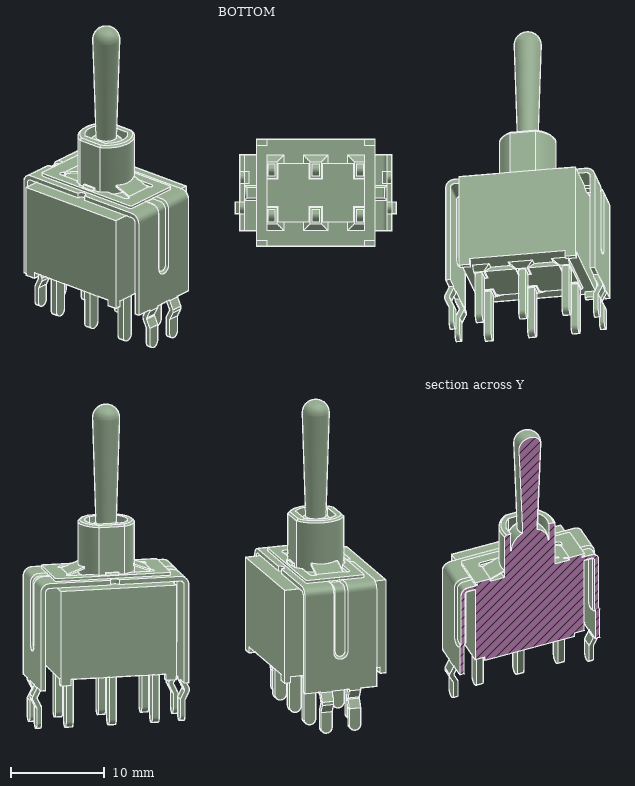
import cadquery as cq
import math

OVERALL_HEIGHT = 34.68

CASE_LENGTH = 12.65
CASE_WIDTH = 11.45
CASE_TOP = 15.85
CASE_BOTTOM = 6.15
FOOT_LENGTH = 1.15
FOOT_WIDTH = 0.65
FOOT_HEIGHT = 0.65
SEAL_LENGTH = 10.4
SEAL_WIDTH = 6.25
SEAL_DEPTH = 0.45

TERMINAL_COLUMNS = 3
TERMINAL_ROWS = 2
TERMINAL_PITCH = 4.7
TERMINAL_ROW_SPACING = 4.85
TERMINAL_THICKNESS = 0.75
TERMINAL_WIDTH = 1.32
TERMINAL_TIP = 0.15
COLLAR_FLARE = 0.95
COLLAR_HEIGHT = 0.52
COLLAR_TAPER = 54.0

SHEET = 0.52
BRACKET_LENGTH = 16.23
BRACKET_WIDTH = 8.1
BRACKET_TOP = CASE_TOP + SHEET
BRACKET_BOTTOM = 4.65
BEND_RADIUS = 0.97
NOTCH_RADIUS = 0.5

RIB_WIDTH = 1.6
RIB_FLOOR_WIDTH = 1.1
RIB_DEPTH = 0.25
RIB_BOTTOM = 8.1
RIB_END_X = 6.07

PIN_WIDTH = 1.3
PIN_ROW_SPACING = 3.23
PIN_SPAN = 17.15
PIN_KINK = (PIN_SPAN - BRACKET_LENGTH) / 2
KINK_CREST = 3.47
KINK_HALF_HEIGHT = 1.0
KINK_HALF_FLAT = 0.07
KINK_CONVEX_GROWTH = 0.1

COVER_LENGTH = CASE_LENGTH
COVER_WIDTH = 6.55
COVER_THICKNESS = 0.3
COVER_CORNER = 0.25
COVER_TOP = BRACKET_TOP + COVER_THICKNESS
FLAP_WIDTH = 3.0
FLAP_HINGE_X = 4.58
FLAP_TIP_X = 2.7
FLAP_RISE = 0.7
FLAP_THICKNESS = 0.17
SLOT_WIDTH = 0.73
SLOT_END_X = 4.8
TAB_LENGTH = 1.45
TAB_REACH = 3.05
TAB_TOP_REACH = 2.85
TAB_RISE = 0.2
COVER_HOLE_RADIUS = 3.12
COVER_HOLE_FLAT_WIDTH = 5.7

BUSHING_RADIUS = 3.0
BUSHING_FLAT_WIDTH = 5.35
BUSHING_TOP = 22.05
BUSHING_CHAMFER = 0.2
BORE_RADIUS = 2.3
BORE_FLAT_WIDTH = 3.6

LEVER_TOP_RADIUS = 1.45
LEVER_NECK_RADIUS = 1.1
BALL_RADIUS = BORE_RADIUS
BALL_CENTER = 19.75


def block(length, width, bottom, top):
    """Box centred on the Z axis between two heights."""
    box = cq.Workplane("XY").workplane(offset=bottom).rect(length, width)
    return box.extrude(top - bottom)


def flatted_cylinder(radius, flat_width, bottom, top):
    """Cylinder on the Z axis with two flats facing +Y and -Y."""
    cylinder = cq.Workplane("XY").workplane(offset=bottom).circle(radius).extrude(top - bottom)
    return cylinder.intersect(block(2 * radius, flat_width, bottom, top))


def round_ended_blade(width, bottom, top, length):
    """Upright blade, wide along Y with a round lower end, centred on X = 0."""
    radius = width / 2
    return (
        cq.Workplane("YZ")
        .workplane(offset=-length / 2)
        .moveTo(-radius, top)
        .lineTo(-radius, bottom + radius)
        .threePointArc((0, bottom), (radius, bottom + radius))
        .lineTo(radius, top)
        .close()
        .extrude(length)
    )


def on_both_ends(shape):
    """The shape together with its mirror image across the YZ plane."""
    return shape.union(shape.mirror("YZ"))


def make_case():
    case = block(CASE_LENGTH, CASE_WIDTH, CASE_BOTTOM, CASE_TOP)
    feet = (
        cq.Workplane("XY")
        .workplane(offset=CASE_BOTTOM)
        .rect(CASE_LENGTH - FOOT_LENGTH, CASE_WIDTH - FOOT_WIDTH, forConstruction=True)
        .vertices()
        .rect(FOOT_LENGTH, FOOT_WIDTH)
        .extrude(-FOOT_HEIGHT)
    )
    seal = block(SEAL_LENGTH, SEAL_WIDTH, CASE_BOTTOM - SEAL_DEPTH, CASE_BOTTOM)
    case = case.union(feet).union(seal)
    collars = (
        cq.Workplane("XY")
        .workplane(offset=CASE_BOTTOM)
        .rarray(TERMINAL_PITCH, TERMINAL_ROW_SPACING, TERMINAL_COLUMNS, TERMINAL_ROWS)
        .rect(TERMINAL_THICKNESS + 2 * COLLAR_FLARE, TERMINAL_WIDTH + 2 * COLLAR_FLARE)
        .extrude(-COLLAR_HEIGHT, taper=COLLAR_TAPER)
    )
    case = case.union(collars.intersect(block(SEAL_LENGTH, CASE_WIDTH, 0, CASE_BOTTOM)))
    blade = round_ended_blade(TERMINAL_WIDTH, TERMINAL_TIP, CASE_BOTTOM, TERMINAL_THICKNESS)
    for column in range(TERMINAL_COLUMNS):
        for row in range(TERMINAL_ROWS):
            x = (column - (TERMINAL_COLUMNS - 1) / 2) * TERMINAL_PITCH
            y = (row - (TERMINAL_ROWS - 1) / 2) * TERMINAL_ROW_SPACING
            case = case.union(blade.translate((x, y, 0)))
    return case


def make_rib(inset):
    """Tapered rib on the +X leg whose wide side lies `inset` below the outer sheet face."""
    face_x = BRACKET_LENGTH / 2 - inset
    face_z = BRACKET_TOP - inset
    radius = BEND_RADIUS - inset
    bend_x = face_x - radius
    bend_z = face_z - radius
    end_z = RIB_BOTTOM + RIB_WIDTH / 2
    path = (
        cq.Workplane("XZ")
        .moveTo(face_x, end_z)
        .lineTo(face_x, bend_z)
        .threePointArc(
            (bend_x + radius * math.sqrt(0.5), bend_z + radius * math.sqrt(0.5)),
            (bend_x, face_z),
        )
        .lineTo(RIB_END_X, face_z)
    )
    rib = (
        cq.Workplane("XY")
        .workplane(offset=end_z)
        .polyline([
            (face_x, -RIB_WIDTH / 2),
            (face_x, RIB_WIDTH / 2),
            (face_x - RIB_DEPTH, RIB_FLOOR_WIDTH / 2),
            (face_x - RIB_DEPTH, -RIB_FLOOR_WIDTH / 2),
        ])
        .close()
        .sweep(path)
    )
    round_end = cq.Workplane(cq.Solid.makeCone(
        RIB_WIDTH / 2,
        RIB_FLOOR_WIDTH / 2,
        RIB_DEPTH,
        pnt=cq.Vector(face_x, 0, end_z),
        dir=cq.Vector(-1, 0, 0),
    ))
    return rib.union(round_end)


def kink_face(x, kink, growth):
    """Points down one face of a pin, with the kink made taller by `growth` at each corner."""
    foot = KINK_HALF_HEIGHT + growth
    crest = KINK_HALF_FLAT + growth
    return [
        (x, BRACKET_BOTTOM),
        (x, KINK_CREST + foot),
        (x + kink, KINK_CREST + crest),
        (x + kink, KINK_CREST - crest),
        (x, KINK_CREST - foot),
        (x, 0),
    ]


def make_pin(side):
    """Snap-in pin on the +X leg, kinked outwards for side = 1 and inwards for side = -1."""
    outer = BRACKET_LENGTH / 2
    kink = side * PIN_KINK
    outer_growth = KINK_CONVEX_GROWTH if side > 0 else 0
    inner_growth = KINK_CONVEX_GROWTH - outer_growth
    outer_face = kink_face(outer, kink, outer_growth)
    inner_face = kink_face(outer - SHEET, kink, inner_growth)
    strip = (
        cq.Workplane("XZ")
        .polyline(outer_face + inner_face[::-1])
        .close()
        .extrude(PIN_WIDTH / 2, both=True)
    )
    blade = round_ended_blade(PIN_WIDTH, 0, BRACKET_BOTTOM, 2 * BRACKET_LENGTH)
    return strip.intersect(blade)


def make_bracket():
    outer = block(BRACKET_LENGTH, BRACKET_WIDTH, BRACKET_BOTTOM, BRACKET_TOP)
    outer = outer.edges("|Y and >Z").fillet(BEND_RADIUS)
    inner = block(BRACKET_LENGTH - 2 * SHEET, BRACKET_WIDTH, BRACKET_BOTTOM, CASE_TOP)
    inner = inner.edges("|Y and >Z").fillet(BEND_RADIUS - SHEET)
    notches = (
        cq.Workplane("XY")
        .workplane(offset=CASE_TOP)
        .pushPoints([(0, -BRACKET_WIDTH / 2), (0, BRACKET_WIDTH / 2)])
        .circle(NOTCH_RADIUS)
        .extrude(SHEET)
    )
    bracket = outer.cut(inner).cut(notches)
    bracket = bracket.union(on_both_ends(make_rib(SHEET)))
    bracket = bracket.cut(on_both_ends(make_rib(0)))
    for side in (1, -1):
        pin = make_pin(side).translate((0, side * PIN_ROW_SPACING / 2, 0))
        bracket = bracket.union(on_both_ends(pin))
    return bracket


def make_cover():
    plate = block(COVER_LENGTH, COVER_WIDTH, BRACKET_TOP, COVER_TOP)
    plate = plate.edges("|Z").fillet(COVER_CORNER)
    slot_y = (FLAP_WIDTH + SLOT_WIDTH) / 2
    slots = (
        cq.Workplane("XY")
        .workplane(offset=BRACKET_TOP)
        .pushPoints([(0, -slot_y), (0, slot_y)])
        .slot2D(2 * SLOT_END_X, SLOT_WIDTH)
        .extrude(COVER_THICKNESS)
    )
    window = block(2 * FLAP_HINGE_X, FLAP_WIDTH, BRACKET_TOP, COVER_TOP)
    flap = (
        cq.Workplane("XZ")
        .polyline([
            (FLAP_HINGE_X, COVER_TOP),
            (FLAP_TIP_X, COVER_TOP + FLAP_RISE),
            (FLAP_TIP_X, COVER_TOP + FLAP_RISE - FLAP_THICKNESS),
            (FLAP_HINGE_X, COVER_TOP - FLAP_THICKNESS),
        ])
        .close()
        .extrude(FLAP_WIDTH / 2, both=True)
    )
    hole = flatted_cylinder(COVER_HOLE_RADIUS, COVER_HOLE_FLAT_WIDTH, BRACKET_TOP, COVER_TOP)
    tabs = (
        cq.Workplane("YZ")
        .polyline([
            (-TAB_REACH, COVER_TOP),
            (-TAB_TOP_REACH, COVER_TOP + TAB_RISE),
            (TAB_TOP_REACH, COVER_TOP + TAB_RISE),
            (TAB_REACH, COVER_TOP),
            (TAB_REACH, BRACKET_TOP),
            (-TAB_REACH, BRACKET_TOP),
        ])
        .close()
        .extrude(TAB_LENGTH / 2, both=True)
    )
    cover = plate.cut(slots).cut(window).cut(hole)
    return cover.union(on_both_ends(flap)).union(tabs)


def make_bushing():
    bushing = flatted_cylinder(BUSHING_RADIUS, BUSHING_FLAT_WIDTH, BRACKET_TOP, BUSHING_TOP)
    bushing = bushing.faces(">Z").chamfer(BUSHING_CHAMFER)
    bore = flatted_cylinder(BORE_RADIUS, BORE_FLAT_WIDTH, BALL_CENTER, BUSHING_TOP)
    return bushing.cut(bore)


def make_lever():
    dome_center = OVERALL_HEIGHT - LEVER_TOP_RADIUS
    dome_mid = LEVER_TOP_RADIUS * math.sqrt(0.5)
    stem = (
        cq.Workplane("XZ")
        .moveTo(0, BALL_CENTER)
        .lineTo(LEVER_NECK_RADIUS, BALL_CENTER)
        .lineTo(LEVER_NECK_RADIUS, BUSHING_TOP)
        .lineTo(LEVER_TOP_RADIUS, dome_center)
        .threePointArc((dome_mid, dome_center + dome_mid), (0, OVERALL_HEIGHT))
        .close()
        .revolve(360, (0, 0, 0), (0, 1, 0))
    )
    ball = cq.Workplane("XY").sphere(BALL_RADIUS).translate((0, 0, BALL_CENTER))
    seat = flatted_cylinder(BORE_RADIUS, BORE_FLAT_WIDTH, BALL_CENTER, BUSHING_TOP)
    return stem.union(ball.intersect(seat))


result = (
    make_case()
    .union(make_bracket())
    .union(make_cover())
    .union(make_bushing())
    .union(make_lever())
)